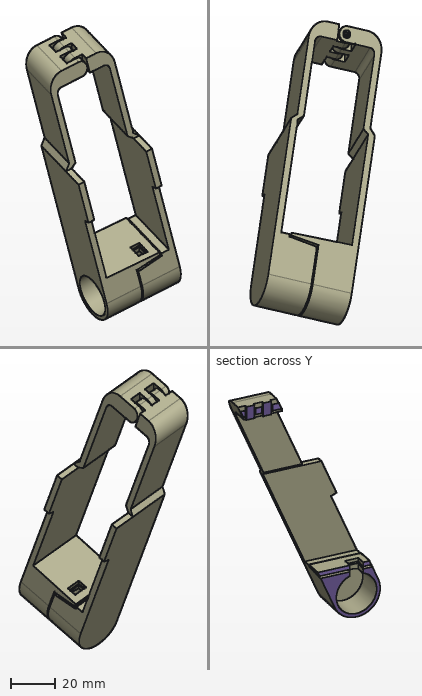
import cadquery as cq
import math


total_length_x = 71.0
total_height = 119.0
foot_radius = 12.0
top_z = total_height - foot_radius
top_left_x = foot_radius - total_length_x
lean = (math.atan2(-top_left_x, top_z)
        - math.asin(foot_radius / math.hypot(top_left_x, top_z)))
arm_edge = 5.8
lip_edge = 15.0
lip_bottom = 42.8

lower_half_width = 40.2 / 2
upper_half_width = 17.5
wall = 3.2
lower_inner = lower_half_width - wall
upper_inner = upper_half_width - wall
roof = 6.9
ceiling_z = top_z - roof
outer_corner_radius = 8.0
inner_corner_radius = 2.6
inner_shoulder_top = 65.2
front_shoulder_top = 66.3
front_shoulder_bottom = 63.5
back_shoulder_top = inner_shoulder_top
back_shoulder_bottom = 63.0

front_floor_z = 15.5
tongue_tip_y = 12.0
tongue_tip_top_z = 14.9
tongue_tip_bottom_z = 13.7
tongue_root_z = 12.3
front_split_y = -1.3
back_split_y = -0.6
back_floor_z = 14.0
ledge_y = 12.9
ledge_top_z = 13.0
ledge_root_z = 11.3

bore_diameter = 20.0
window_length = 6.5
window_y_start = 3.0
window_y_end = 7.9

barrel_radius = roof / 2
hinge_z = top_z - barrel_radius
pin_diameter = 3.5
pin_end_inset = 1.5
socket_corner_diameter = 2.0
socket_depth = 1.8
back_end_y = 4.0
slot_end_y = -4.9
slot_width = 5.2
finger_width = 4.2
finger_xs = [top_left_x + 5.8, top_left_x + 14.3]

span = 2 * total_height


def leaning(across, along):
    """XZ point given distances across and along the leaning direction."""
    return (across * math.cos(lean) - along * math.sin(lean),
            across * math.sin(lean) + along * math.cos(lean))


def at_height(across, z):
    """XZ point where a leaning edge reaches height z."""
    return leaning(across, (z - across * math.sin(lean)) / math.cos(lean))


def side_outline(shelf_z):
    """Leaning arm with a round foot and a lip, as a prism along Y."""
    return (
        cq.Workplane("XZ")
        .moveTo(*leaning(-foot_radius, 0))
        .lineTo(top_left_x, top_z)
        .lineTo(*at_height(arm_edge, top_z))
        .lineTo(*at_height(arm_edge, shelf_z))
        .lineTo(*at_height(lip_edge, shelf_z))
        .lineTo(*leaning(lip_edge, lip_bottom))
        .lineTo(*leaning(foot_radius, lip_bottom))
        .lineTo(*leaning(foot_radius, 0))
        .threePointArc(leaning(0, -foot_radius), leaning(-foot_radius, 0))
        .close()
        .extrude(span / 2, both=True)
    )


def frame_half(side, shoulder_top, shoulder_bottom, roof_end_y, floor_points):
    """Half of the frame on one side of Y; floor_points run from the wall to the underside."""
    def corner_arc(radius):
        return radius * (1 - math.sqrt(0.5))

    outer_cut = corner_arc(outer_corner_radius)
    inner_cut = corner_arc(inner_corner_radius)
    section = (
        cq.Workplane("YZ")
        .moveTo(side * lower_half_width, -foot_radius)
        .lineTo(side * lower_half_width, shoulder_bottom)
        .lineTo(side * upper_half_width, shoulder_top)
        .lineTo(side * upper_half_width, top_z - outer_corner_radius)
        .threePointArc((side * (upper_half_width - outer_cut), top_z - outer_cut),
                       (side * (upper_half_width - outer_corner_radius), top_z))
        .lineTo(roof_end_y, top_z)
        .lineTo(roof_end_y, ceiling_z)
        .lineTo(side * (upper_inner - inner_corner_radius), ceiling_z)
        .threePointArc((side * (upper_inner - inner_cut), ceiling_z - inner_cut),
                       (side * upper_inner, ceiling_z - inner_corner_radius))
        .lineTo(side * upper_inner, inner_shoulder_top)
        .lineTo(side * lower_inner, shoulder_bottom)
    )
    for point in floor_points:
        section = section.lineTo(*point)
    return section.close().extrude(span / 2, both=True).intersect(side_outline(shoulder_bottom))


def x_cylinder(diameter):
    return (cq.Workplane("YZ").center(0, hinge_z)
            .circle(diameter / 2).extrude(span / 2, both=True))


def block(x, width, y_start, y_end, z_start, z_end):
    """Box centred on x, between the given Y and Z limits."""
    return (cq.Workplane("XY").box(width, y_end - y_start, z_end - z_start, centered=(True, False, False))
            .translate((x, y_start, z_start)))


def bore():
    """Blind bore entering from the -Y face and stopping one wall short of the +Y face."""
    return (cq.Workplane("XZ", origin=(0, -lower_half_width, 0))
            .circle(bore_diameter / 2).extrude(-(2 * lower_half_width - wall)))


def window():
    return block(0, window_length, window_y_start, window_y_end, 0, front_floor_z)


def pin_body():
    """Pin flush with the leaning -X face and hidden at its +X end; also cuts its own hole."""
    pin_end = at_height(arm_edge, hinge_z)[0] - pin_end_inset
    cylinder = (cq.Workplane("YZ", origin=(pin_end, 0, hinge_z))
                .circle(pin_diameter / 2).extrude(-span / 2))
    return cylinder.intersect(side_outline(front_shoulder_bottom))


def make_front_half():
    floor = [
        (-lower_inner, front_floor_z),
        (tongue_tip_y, tongue_tip_top_z),
        (tongue_tip_y, tongue_tip_bottom_z),
        (front_split_y, tongue_root_z),
        (front_split_y, -foot_radius),
    ]
    half = frame_half(-1, front_shoulder_top, front_shoulder_bottom, 0, floor)
    barrel = x_cylinder(2 * barrel_radius).intersect(side_outline(front_shoulder_bottom))
    half = half.union(barrel)
    for x in finger_xs:
        half = half.cut(block(x, slot_width, slot_end_y, back_end_y, ceiling_z, top_z))
    return half.cut(pin_body()).cut(bore()).cut(window())


def make_back_half():
    floor = [
        (lower_inner, back_floor_z),
        (ledge_y, back_floor_z),
        (ledge_y, ledge_top_z),
        (back_split_y, ledge_root_z),
        (back_split_y, -foot_radius),
    ]
    half = frame_half(1, back_shoulder_top, back_shoulder_bottom, back_end_y, floor)
    for x in finger_xs:
        finger = block(x, finger_width, 0, back_end_y, ceiling_z, top_z)
        knuckle = x_cylinder(2 * barrel_radius).intersect(
            block(x, finger_width, -barrel_radius, barrel_radius, ceiling_z, top_z))
        half = half.union(finger).union(knuckle)
    return half.cut(pin_body()).cut(bore()).cut(window())


def make_hinge_pin():
    """Hinge pin with a hexagonal socket in its -X end."""
    socket_floor = at_height(-foot_radius, hinge_z)[0] + socket_depth
    socket = (cq.Workplane("YZ", origin=(socket_floor, 0, hinge_z))
              .polygon(6, socket_corner_diameter).extrude(-span / 2))
    return pin_body().cut(socket)


front_half = make_front_half()
back_half = make_back_half()
hinge_pin = make_hinge_pin()

result = cq.Compound.makeCompound([front_half.val(), back_half.val(), hinge_pin.val()])